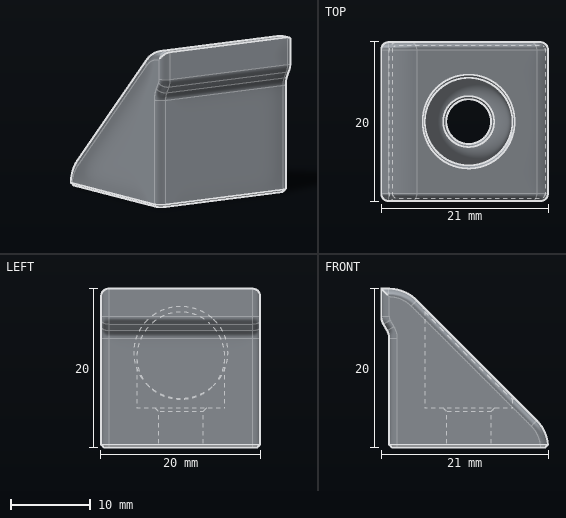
import cadquery as cq
import math

leg = 20.0
width = 20.0
slope_inset = 2.0
slope_angle = math.radians(45)
nose_radius = 5.0

lip_depth = 1.0
lip_bottom = 16.0
lip_angle = math.radians(30)
lip_radius = 2.0

side_fillet = 1.0
edge_chamfer = 0.4

hole_diameter = 5.6
counterbore_diameter = 11.0
counterbore_floor = 5.0
hole_x = leg / 2

overrun = 5.0


def arc_point(center_x, center_z, radius, angle):
    """Point at an angle (radians, from +X towards +Z) on a circle in the XZ plane."""
    return (center_x + radius * math.cos(angle), center_z + radius * math.sin(angle))


def extrude_and_round(outline, rounded_box):
    """Extrude a closed XZ outline across the width and round its side edges inside a box."""
    body = outline.extrude(width / 2, both=True)
    return body.faces("<Y or >Y").edges(rounded_box).fillet(side_fillet)


def make_slope_side():
    """Body bounded by the toe, the sloping face and the top, running on past the lip."""
    half_slope = slope_angle / 2
    nose_center = leg - nose_radius
    nose_shift = slope_inset - nose_radius * math.tan(half_slope)
    toe_x = nose_center + math.sqrt(nose_radius**2 - nose_shift**2)

    outline = (
        cq.Workplane("XZ")
        .moveTo(-overrun, 0)
        .lineTo(toe_x, 0)
        .threePointArc(
            arc_point(nose_center, nose_shift, nose_radius, half_slope),
            arc_point(nose_center, nose_shift, nose_radius, slope_angle),
        )
        .lineTo(*arc_point(nose_shift, nose_center, nose_radius, slope_angle))
        .threePointArc(
            arc_point(nose_shift, nose_center, nose_radius, slope_angle + half_slope),
            (nose_shift, leg),
        )
        .lineTo(-overrun, leg)
        .close()
    )
    above_base = cq.selectors.BoxSelector(
        (-overrun + side_fillet, -width, edge_chamfer), (2 * leg, width, 2 * leg)
    )
    return extrude_and_round(outline, above_base)


def make_upright_side():
    """Body bounded by the upright face with its lip, running on past the slope and the top."""
    tangent = lip_radius * math.tan(lip_angle / 2)
    root_z = lip_bottom - lip_depth / math.tan(lip_angle)
    upper_start_z = lip_bottom + tangent
    lower_end_z = root_z - tangent
    upper_x = lip_radius - lip_depth
    lower_x = -lip_radius

    outline = (
        cq.Workplane("XZ")
        .moveTo(0, 0)
        .lineTo(leg + overrun, 0)
        .lineTo(leg + overrun, leg + overrun)
        .lineTo(-lip_depth, leg + overrun)
        .lineTo(-lip_depth, upper_start_z)
        .threePointArc(
            arc_point(upper_x, upper_start_z, lip_radius, math.pi + lip_angle / 2),
            arc_point(upper_x, upper_start_z, lip_radius, math.pi + lip_angle),
        )
        .lineTo(*arc_point(lower_x, lower_end_z, lip_radius, lip_angle))
        .threePointArc(
            arc_point(lower_x, lower_end_z, lip_radius, lip_angle / 2),
            (0, lower_end_z),
        )
        .close()
    )
    near_upright = cq.selectors.BoxSelector((-overrun, -width, 0), (overrun, width, 2 * leg))
    return extrude_and_round(outline, near_upright)


def cut_screw_hole(body):
    """Vertical counterbored hole, open to the sloping face."""
    bore_radius = hole_diameter / 2
    counterbore_radius = counterbore_diameter / 2
    half_section = [
        (0, 0),
        (bore_radius, 0),
        (bore_radius, counterbore_floor - edge_chamfer),
        (bore_radius + edge_chamfer, counterbore_floor),
        (counterbore_radius, counterbore_floor),
        (counterbore_radius, leg),
        (0, leg),
    ]
    cutter = cq.Workplane("XZ").polyline(half_section).close().revolve(360, (0, 0), (0, 1))
    body = body.cut(cutter.translate((hole_x, 0, 0)))

    return body.edges("%ELLIPSE").chamfer(edge_chamfer)


def make_bracket():
    """Overlap of the two rounded bodies, whose side roundings meet in a mitre at the lip's top."""
    bracket = cut_screw_hole(make_slope_side()).intersect(make_upright_side())

    base_edges = bracket.faces("<Z").wires().first().edges()
    return base_edges.chamfer(edge_chamfer)


result = make_bracket()